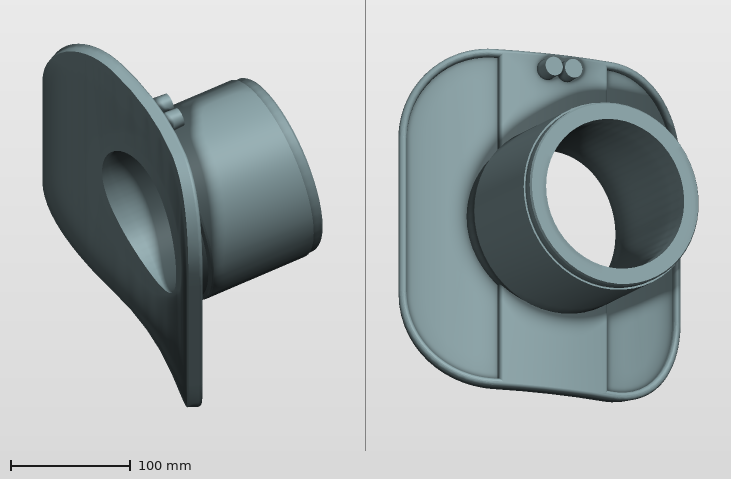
import cadquery as cq
import math

saddle_inner_radius = 280.0
plate_thickness = 12.0
plate_width = 261.06
plate_height = 290.0
plate_corner_radius = 79.0
edge_rounding = 3.0
saddle_outer_radius = saddle_inner_radius + plate_thickness
saddle_middle_radius = saddle_inner_radius + plate_thickness / 2

recess_depth = 5.0
rim_width = 7.0
band_width = 100.0
recess_floor_radius = saddle_outer_radius - recess_depth

overall_depth = 155.18
bore_radius = 128.0 / 2
neck_radius = 152.0 / 2
socket_radius = 160.0 / 2
tip_radius = 156.8 / 2
tip_length = 10.0
tip_chamfer_length = 1.8
tip_chamfer_depth = 1.2
socket_length = 105.0
shoulder_taper_length = 1.8
shoulder_taper_depth = 0.6
shoulder_length = 3.5

boss_tip_radius = 16.0 / 2
boss_base_radius = 17.7 / 2
boss_height = 14.5
boss_spacing = 18.0
boss_center_z = 130.2

clearance = 20.0

position_tolerance = 0.01
solver_steps = 10


def rounding_loss(angle):
    """Width lost at one side of the plate when its back edge is rounded."""
    return edge_rounding * (math.cos(angle) + math.sin(angle) - 1)


def solve_side_angle():
    """Angle of the radial side faces that leaves the finished width after rounding."""
    angle = math.asin(plate_width / 2 / saddle_outer_radius)
    for _ in range(solver_steps):
        angle = math.asin((plate_width / 2 + rounding_loss(angle)) / saddle_outer_radius)
    return angle


side_angle = solve_side_angle()
mouth_y = saddle_inner_radius * math.cos(side_angle) + overall_depth


def cylinder_about_z(radius):
    """Cylinder about the Z axis, as tall as the plate."""
    return cq.Workplane("XY").circle(radius).extrude(plate_height / 2, both=True)


def rounded_wedge(inset):
    """Wedge with the plate's rounded outline, every side moved inward by inset."""

    def side_point(radius):
        x = radius * math.sin(side_angle) - inset * math.cos(side_angle)
        y = radius * math.cos(side_angle) + inset * math.sin(side_angle)
        return x, y

    front_x, front_y = side_point(saddle_inner_radius - 3 * clearance)
    back_x, back_y = side_point(saddle_outer_radius + 3 * clearance)
    wedge = (
        cq.Workplane("XY")
        .polyline([(-front_x, front_y), (front_x, front_y), (back_x, back_y), (-back_x, back_y)])
        .close()
        .extrude(plate_height / 2 - inset, both=True)
    )
    corner_edges = wedge.edges("not(|X or |Z)")
    return corner_edges.fillet(plate_corner_radius - inset)


def recesses():
    """Cutter for both recesses: a curved layer inside the rim, parted by the middle band."""
    layer = cylinder_about_z(saddle_outer_radius + clearance).cut(cylinder_about_z(recess_floor_radius))
    band = cq.Workplane("XY").box(band_width, 3 * saddle_outer_radius, plate_height)
    return layer.intersect(rounded_wedge(rim_width)).cut(band)


def lies_on_back(edge):
    """True if the whole edge lies on the plate's convex back surface."""
    points = [edge.positionAt(fraction) for fraction in (0.0, 0.3, 0.5, 0.8)]
    return all(abs(math.hypot(point.x, point.y) - saddle_outer_radius) < position_tolerance for point in points)


def saddle_plate():
    wall = cylinder_about_z(saddle_outer_radius).cut(cylinder_about_z(saddle_inner_radius))
    plate = wall.intersect(rounded_wedge(0)).cut(recesses())
    back_edges = [edge for edge in plate.edges().vals() if lies_on_back(edge)]
    return plate.newObject(back_edges).fillet(edge_rounding)


def turned_about_y(profile_points):
    """Solid of revolution about the Y axis from (radius, y) points."""
    return cq.Workplane("XY").polyline(profile_points).close().revolve(360, (0, 0, 0), (0, 1, 0))


def outlet_pipe():
    """Outlet pipe without its bore, ending inside the plate wall."""
    socket_start_y = mouth_y - socket_length
    tip_start_y = mouth_y - tip_length
    pipe = turned_about_y([
        (0, 0),
        (neck_radius, 0),
        (neck_radius, socket_start_y - shoulder_length),
        (socket_radius - shoulder_taper_depth, socket_start_y - shoulder_taper_length),
        (socket_radius, socket_start_y),
        (socket_radius, tip_start_y),
        (tip_radius, tip_start_y),
        (tip_radius, mouth_y - tip_chamfer_length),
        (tip_radius - tip_chamfer_depth, mouth_y),
        (0, mouth_y),
    ])
    return pipe.cut(cylinder_about_z(recess_floor_radius - edge_rounding))


def terminal_boss(center_x):
    boss = turned_about_y([
        (0, saddle_middle_radius),
        (boss_base_radius, saddle_middle_radius),
        (boss_base_radius, saddle_outer_radius),
        (boss_tip_radius, saddle_outer_radius + boss_height),
        (0, saddle_outer_radius + boss_height),
    ])
    return boss.translate((center_x, 0, boss_center_z))


def bore():
    return cq.Workplane("XZ").circle(bore_radius).extrude(-(mouth_y + clearance))


result = saddle_plate().union(outlet_pipe())
for side in (-1, 1):
    result = result.union(terminal_boss(side * boss_spacing / 2))
result = result.cut(bore())